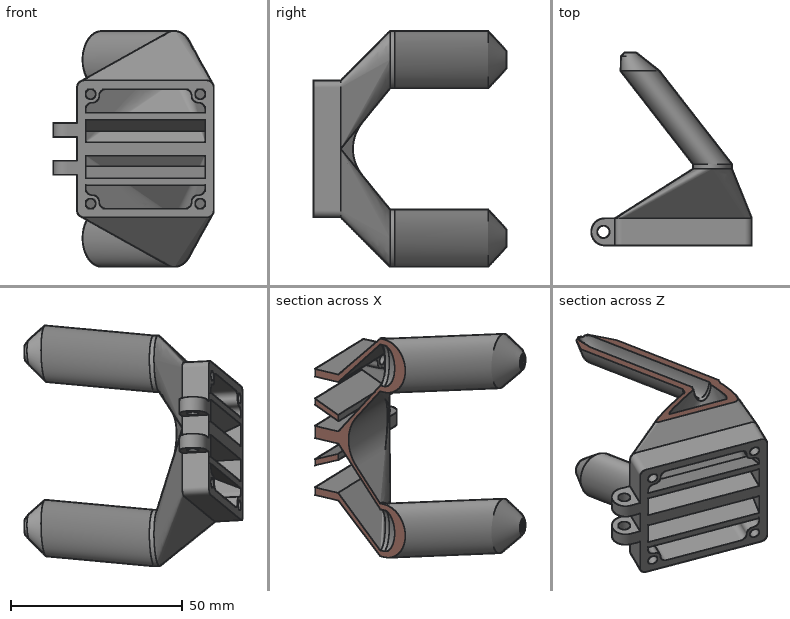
import cadquery as cq
import math


plate_side = 40.0
plate_depth = 8.0
plate_corner_radius = 2.0
plate_half = plate_side / 2

opening_half = 17.45
divider_half_height = 2.0
slat_thickness = 2.1
slat_front_height = 8.55
slat_drop = 3.45
screw_diameter = 3.0
screw_offset = 16.0
boss_side = 3.9
boss_fillet = 1.9

lug_radius = plate_depth / 2
lug_overhang = 3.0
lug_width = 4.15
lug_offset = 5.5
lug_hole_diameter = 3.5
lug_hole_overhang = 3.4

overall_height = 69.0
arm_half_width = 5.7
arm_half_height = 8.4
arm_height = overall_height / 2 - arm_half_height
elbow_x = 8.5
elbow_start = 22.4
elbow_end = 23.8
shoulder_x = -12.7
shoulder_y = 51.05
neck_x = -15.3
neck_y = 55.35
neck_half_width = 3.0
neck_half_height = 3.85
nozzle_x = -15.5
nozzle_y = 56.5
nozzle_half_width = 1.65
nozzle_half_height = 2.5

top_wall = 2.0
side_wall = 3.0
nozzle_wall = 0.8
sharp_radius = 0.2
corner_flat = 0.015

crotch_radius = 12.4

facing = cq.Vector(0, -1, 0)
along_x = cq.Vector(1, 0, 0)


def section(y, x, z, half_width, half_height, upper_radii, lower_radii):
    """Closed outline at depth y: a box whose corners are quarter ellipses."""
    corners = [(1, 1, upper_radii), (-1, 1, upper_radii), (-1, -1, lower_radii), (1, -1, lower_radii)]
    arcs = []
    for index, (side_x, side_z, (radius_x, radius_z)) in enumerate(corners):
        centre = cq.Vector(
            x + side_x * (half_width - radius_x),
            y,
            z + side_z * (half_height - radius_z),
        )
        start_angle = 90 * index
        arcs.append(
            cq.Edge.makeEllipse(
                radius_x, radius_z, centre, facing, along_x, start_angle, start_angle + 90
            )
        )
    edges = []
    for index, arc in enumerate(arcs):
        next_arc = arcs[(index + 1) % len(arcs)]
        edges.append(arc)
        edges.append(cq.Edge.makeLine(arc.endPoint(), next_arc.startPoint()))
    return cq.Wire.assembleEdges(edges)


def elbow_section(half_width, half_height):
    """Nearly elliptical funnel end; tiny flats pair it with the straight sides of the base."""
    radii = (half_width - corner_flat, half_height - corner_flat)
    return section(elbow_start, elbow_x, arm_height, half_width, half_height, radii, radii)


def oval(y, x, half_width, half_height):
    """Elliptical arm section at depth y."""
    centre = cq.Vector(x, y, arm_height)
    return cq.Wire.makeEllipse(half_width, half_height, centre, facing, along_x)


def duct_body(base, wall_x, wall_z, nozzle_inset):
    """Funnel, elbow, arm and nozzle through sections inset by the given walls."""
    half_width = arm_half_width - wall_x
    half_height = arm_half_height - wall_z
    funnel = cq.Solid.makeLoft([base, elbow_section(half_width, half_height)], True)
    arm_sections = [
        oval(elbow_start, elbow_x, half_width, half_height),
        oval(elbow_end, elbow_x, half_width, half_height),
        oval(shoulder_y, shoulder_x, half_width, half_height),
        oval(neck_y, neck_x, neck_half_width - nozzle_inset, neck_half_height - nozzle_inset),
        oval(nozzle_y, nozzle_x, nozzle_half_width - nozzle_inset, nozzle_half_height - nozzle_inset),
    ]
    arm = cq.Solid.makeLoft(arm_sections, True)
    return cq.Workplane(funnel).union(cq.Workplane(arm))


def both_sides(upper):
    return upper.union(upper.mirror("XY"))


def outer_ducts():
    base = section(
        plate_depth, 0, plate_half / 2, plate_half, plate_half / 2,
        (plate_corner_radius, plate_corner_radius), (sharp_radius, sharp_radius),
    )
    return both_sides(duct_body(base, 0, 0, 0))


def air_passages():
    half_height = (opening_half - divider_half_height) / 2
    base = section(
        plate_depth, 0, divider_half_height + half_height, opening_half, half_height,
        (sharp_radius, sharp_radius), (sharp_radius, sharp_radius),
    )
    return both_sides(duct_body(base, side_wall, top_wall, nozzle_wall))


def crotch_web():
    """Web that rounds off the V between the two funnel floors."""
    floor_rise = arm_height - arm_half_height
    floor_run = elbow_start - plate_depth
    half_angle = math.atan2(floor_rise, floor_run)
    axis_y = plate_depth + crotch_radius / math.sin(half_angle)
    tangent_length = crotch_radius / math.tan(half_angle)
    tangent_y = plate_depth + tangent_length * math.cos(half_angle)
    tangent_z = tangent_length * math.sin(half_angle)
    profile = (
        cq.Workplane("YZ")
        .moveTo(plate_depth, 0)
        .lineTo(tangent_y, tangent_z)
        .threePointArc((axis_y - crotch_radius, 0), (tangent_y, -tangent_z))
        .close()
        .extrude(plate_half, both=True)
    )
    floor_outline = (
        cq.Workplane("XY")
        .polyline([(-plate_half, plate_depth), (plate_half, plate_depth), (elbow_x, elbow_start)])
        .close()
        .extrude(plate_half, both=True)
    )
    return profile.intersect(floor_outline)


def plate():
    return (
        cq.Workplane("XZ")
        .rect(plate_side, plate_side)
        .extrude(-plate_depth)
        .edges("|Y")
        .fillet(plate_corner_radius)
    )


def lug(z):
    lug_x = -plate_half - lug_overhang
    body = (
        cq.Workplane("XY", origin=(0, 0, z - lug_width / 2))
        .moveTo(-plate_half, 0)
        .lineTo(lug_x, 0)
        .threePointArc((lug_x - lug_radius, lug_radius), (lug_x, plate_depth))
        .lineTo(-plate_half, plate_depth)
        .close()
        .extrude(lug_width)
    )
    hole = (
        cq.Workplane("XY", origin=(-plate_half - lug_hole_overhang, lug_radius, z - lug_width / 2))
        .circle(lug_hole_diameter / 2)
        .extrude(lug_width)
    )
    return body.cut(hole)


def plate_opening():
    """Upper plate opening: everything above the divider except the bosses and the slat."""
    opening = (
        cq.Workplane("XZ")
        .rect(2 * opening_half, opening_half - divider_half_height)
        .extrude(-plate_depth)
        .translate((0, 0, (opening_half + divider_half_height) / 2))
    )
    boss_centre = opening_half - boss_side / 2
    bosses = (
        cq.Workplane("XZ")
        .pushPoints([(-boss_centre, boss_centre), (boss_centre, boss_centre)])
        .rect(boss_side, boss_side)
        .extrude(-plate_depth)
    )
    rounded_from = opening_half - boss_side - boss_fillet
    rounded_edges = cq.selectors.BoxSelector(
        (-plate_half, 0, rounded_from), (plate_half, plate_depth, plate_half)
    )
    opening = opening.cut(bosses).edges("|Y").edges(rounded_edges).fillet(boss_fillet)
    slat_back_height = slat_front_height - slat_drop
    slat = (
        cq.Workplane("YZ")
        .polyline([
            (0, slat_front_height),
            (0, slat_front_height + slat_thickness),
            (plate_depth, slat_back_height + slat_thickness),
            (plate_depth, slat_back_height),
        ])
        .close()
        .extrude(plate_half, both=True)
    )
    return opening.cut(slat)


def screw_holes():
    return (
        cq.Workplane("XZ")
        .rect(2 * screw_offset, 2 * screw_offset, forConstruction=True)
        .vertices()
        .circle(screw_diameter / 2)
        .extrude(-plate_depth)
    )


body = outer_ducts().union(crotch_web()).cut(air_passages())
body = body.union(plate().cut(both_sides(plate_opening())).cut(screw_holes()))
for lug_z in (-lug_offset, lug_offset):
    body = body.union(lug(lug_z))
result = body